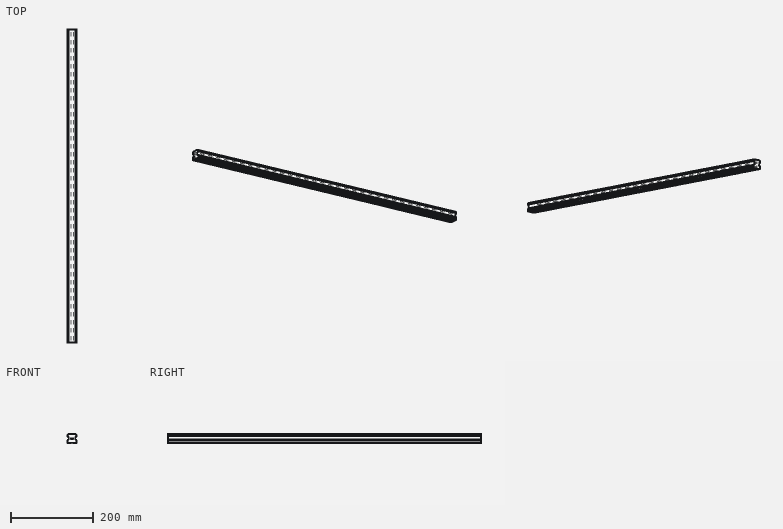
import cadquery as cq
import math

LENGTH = 760.0
WIDTH = 23.0
HEIGHT = 22.0

TOP_FLAT_WIDTH = 16.8
HEAD_BEVEL_WIDTH = 18.0
HEAD_BEVEL_DEPTH = 1.0
HEAD_SIDE_TOP = 19.5
HEAD_SIDE_BOTTOM = 16.6
LOWER_RACE_WIDTH = 17.8
LOWER_RACE_BOTTOM = 14.4
RACE_SAG = 0.5

WEB_WIDTH = 16.0
WEB_TOP = 12.4
WEB_BOTTOM = 9.0
WEB_FILLET = 1.0

SHOULDER_WIDTH = 19.8
SHOULDER_HEIGHT = 7.6
FOOT_SIDE_TOP = 5.2
FOOT_CHAMFER = 1.0

RELIEF_WIDTH = 6.6
RELIEF_DEPTH = 0.2

RECESS_WIDTH = 6.5
RECESS_HEIGHT = 2.5
RECESS_DEPTH = 0.5
RECESS_CENTRE_HEIGHT = HEIGHT / 2

PICK_REACH = 0.1


def race_midpoint(start, end):
    """Middle point of a shallow arc bulging to the left of the start-to-end direction."""
    run = end[0] - start[0]
    rise = end[1] - start[1]
    chord = math.hypot(run, rise)
    middle_x = (start[0] + end[0]) / 2 - RACE_SAG * rise / chord
    middle_z = (start[1] + end[1]) / 2 + RACE_SAG * run / chord
    return (middle_x, middle_z)


def lengthwise_edge(x, z):
    """Selector for the lengthwise edge passing through (x, z)."""
    low_corner = (x - PICK_REACH, -LENGTH, z - PICK_REACH)
    high_corner = (x + PICK_REACH, LENGTH, z + PICK_REACH)
    return cq.selectors.BoxSelector(low_corner, high_corner)


def half_rail():
    """The +X half of the rail, extruded along Y and centred on Y = 0."""
    half_width = WIDTH / 2
    half_web = WEB_WIDTH / 2
    lower_race_start = (LOWER_RACE_WIDTH / 2, LOWER_RACE_BOTTOM)
    lower_race_end = (half_width, HEAD_SIDE_BOTTOM)
    upper_race_start = (half_width, HEAD_SIDE_TOP)
    upper_race_end = (HEAD_BEVEL_WIDTH / 2, HEIGHT - HEAD_BEVEL_DEPTH)
    half = (
        cq.Workplane("XZ")
        .moveTo(0, RELIEF_DEPTH)
        .lineTo(RELIEF_WIDTH / 2, RELIEF_DEPTH)
        .lineTo(RELIEF_WIDTH / 2, 0)
        .lineTo(half_width - FOOT_CHAMFER, 0)
        .lineTo(half_width, FOOT_CHAMFER)
        .lineTo(half_width, FOOT_SIDE_TOP)
        .lineTo(SHOULDER_WIDTH / 2, SHOULDER_HEIGHT)
        .lineTo(half_web, WEB_BOTTOM)
        .lineTo(half_web, WEB_TOP)
        .lineTo(*lower_race_start)
        .threePointArc(race_midpoint(lower_race_start, lower_race_end), lower_race_end)
        .lineTo(*upper_race_start)
        .threePointArc(race_midpoint(upper_race_start, upper_race_end), upper_race_end)
        .lineTo(TOP_FLAT_WIDTH / 2, HEIGHT)
        .lineTo(0, HEIGHT)
        .close()
        .extrude(LENGTH / 2, both=True)
    )
    return half.edges(lengthwise_edge(half_web, WEB_TOP)).fillet(WEB_FILLET)


def end_recess():
    """Cutter for the rounded recess in the -Y end face."""
    return (
        cq.Workplane("XZ", origin=(0, -LENGTH / 2, RECESS_CENTRE_HEIGHT))
        .slot2D(RECESS_WIDTH, RECESS_HEIGHT)
        .extrude(-RECESS_DEPTH)
    )


right_half = half_rail()
rail = right_half.union(right_half.mirror("YZ")).clean()
result = rail.cut(end_recess())